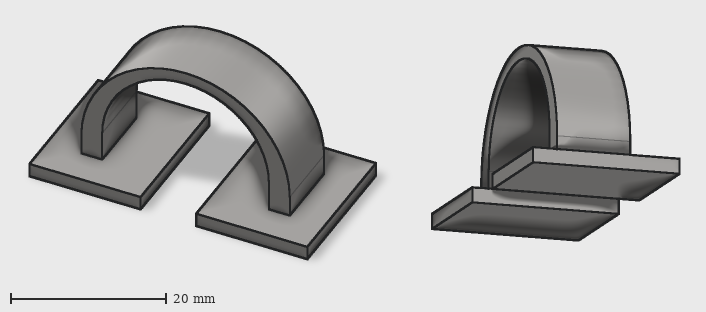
import cadquery as cq

overall_length = 40.0
plate_length = 16.0
plate_width = 20.0
plate_thickness = 2.0

overall_height = 20.0
strap_width = 10.0
outer_radius = 15.0
inner_radius = 12.0
crown_thickness = 1.7
outer_spring_height = overall_height - outer_radius
inner_spring_height = overall_height - crown_thickness - inner_radius


def make_plate(side):
    """Base plate on the side given by the sign of X."""
    center_x = side * (overall_length - plate_length) / 2
    return cq.Workplane("XY").box(
        plate_length, plate_width, plate_thickness, centered=(True, True, False)
    ).translate((center_x, 0, 0))


def make_strap():
    """Arched strap standing on top of the plates."""
    return (
        cq.Workplane("XZ")
        .moveTo(-outer_radius, plate_thickness)
        .lineTo(-outer_radius, outer_spring_height)
        .threePointArc((0, overall_height), (outer_radius, outer_spring_height))
        .lineTo(outer_radius, plate_thickness)
        .lineTo(inner_radius, plate_thickness)
        .lineTo(inner_radius, inner_spring_height)
        .threePointArc((0, overall_height - crown_thickness), (-inner_radius, inner_spring_height))
        .lineTo(-inner_radius, plate_thickness)
        .close()
        .extrude(strap_width / 2, both=True)
    )


result = make_strap()
for side in (-1, 1):
    result = result.union(make_plate(side))